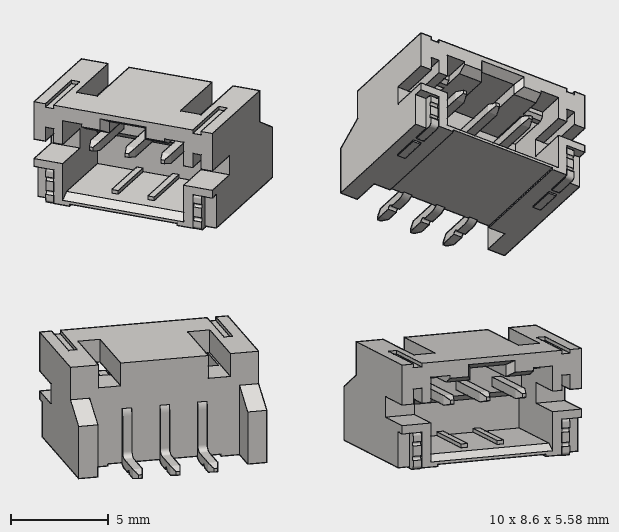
import cadquery as cq


width = 10.0
top = 5.58
underside = 0.08
back = 6.0
relief_width = 6.02
relief_top = 0.19

wing_back = 7.6
wing_inner = 3.98
wing_low = 2.9
wing_high = 3.83

cavity_width = 6.78
cavity_floor = 0.65
cavity_roof = 4.35
mouth_flare = 0.3
mouth_depth = 0.5
upper_wall = 4.08
step_bottom = 2.4
step_top = 2.71
lower_wall = upper_wall + step_top - step_bottom
key_width = 1.98
key_roof = 4.98

slot_inner = 2.33
slot_outer = 3.5
slot_front = 1.98
slot_floor = cavity_roof
pocket_depth = 1.5
pocket_roof = 4.8
pocket_bevel = 0.19

window_depth = 2.18
window_bottom = 2.4
window_top = 3.48

rib_center = 1.01
rib_width = 0.36
rib_top = 0.85
rib_front = 1.24

tab_inner = 3.9
tab_outer = 4.36
tab_top = 1.96
tab_thickness = 0.5
tab_face = 0.04
tab_corner_radius = 0.2
tab_back = 3.2
tab_dip_bottom = 0.61
tab_dip_top = 1.36
tab_dip_face = 0.07
tab_notch_radius = 0.11
tab_foot_notch = 1.58
groove_back = 3.29
groove_floor = 5.39
lower_groove_top = 4.27

pin_pitch = 2.0
pin_size = 0.5
pin_tip_size = 0.2
pin_taper = 0.5
pin_front = 0.48
pin_back = 8.6
pin_center_height = 3.28
leg_back = 6.1
bend_inner_radius = 0.3
bend_outer_radius = bend_inner_radius + pin_size
foot_notch_radius = 0.15
pin_foot_notch = 7.2


def box(x_min, x_max, y_min, y_max, z_min, z_max):
    """Block between the given limits."""
    size = (x_max - x_min, y_max - y_min, z_max - z_min)
    return cq.Workplane("XY").box(*size, centered=False).translate((x_min, y_min, z_min))


def prism(points, x_min, x_max):
    """Outline of (Y, Z) points, extruded along X."""
    outline = cq.Workplane("YZ", origin=(x_min, 0, 0)).polyline(points).close()
    return outline.extrude(x_max - x_min)


def cylinder(y, z, radius, x_min, x_max):
    """Round bar along X."""
    return cq.Workplane("YZ", origin=(x_min, 0, 0)).center(y, z).circle(radius).extrude(x_max - x_min)


def both_sides(shape):
    """The shape together with its mirror image in the YZ plane."""
    return shape.union(shape.mirror("YZ"))


def flared_opening(opening_width, bottom, roof):
    """Opening that narrows inward from the mating face; one as wide as the cavity keeps upright sides."""
    side_flare = mouth_flare if opening_width < cavity_width else 0
    mouth_size = (opening_width + 2 * side_flare, roof - bottom + 2 * mouth_flare)
    inner_size = (opening_width, roof - bottom)
    return (
        cq.Workplane("XZ", origin=(0, 0, (bottom + roof) / 2))
        .rect(*mouth_size)
        .workplane(offset=-mouth_depth)
        .rect(*inner_size)
        .loft(ruled=True)
    )


def taper(y_base, y_tip, z):
    """Four-sided point of a contact."""
    return (
        cq.Workplane("XZ", origin=(0, y_base, z))
        .rect(pin_size, pin_size)
        .workplane(offset=y_base - y_tip)
        .rect(pin_tip_size, pin_tip_size)
        .loft(ruled=True)
    )


def housing_block():
    """Block with a sloped wing behind each end and a shallow relief underneath."""
    block = box(-width / 2, width / 2, 0, back, underside, top)
    wing_outline = [(back, underside), (wing_back, underside), (wing_back, wing_low), (back, wing_high)]
    wings = both_sides(prism(wing_outline, wing_inner, width / 2))
    relief = box(-relief_width / 2, relief_width / 2, 0, back, 0, relief_top)
    return block.union(wings).cut(relief)


def cavity():
    """Mating cavity with a stepped rear wall, a keyway in the roof and a flared mouth."""
    half = cavity_width / 2
    outline = [
        (0, cavity_floor),
        (lower_wall, cavity_floor),
        (lower_wall, step_bottom),
        (upper_wall, step_top),
        (upper_wall, cavity_roof),
        (0, cavity_roof),
    ]
    key = box(-key_width / 2, key_width / 2, 0, upper_wall, step_top, key_roof)
    return (
        prism(outline, -half, half)
        .union(key)
        .union(flared_opening(cavity_width, cavity_floor, cavity_roof))
        .union(flared_opening(key_width, step_top, key_roof))
    )


def latch_slots():
    """Slots in the roof, with shallow pockets raising the cavity roof in front of them."""
    slot = box(slot_inner, slot_outer, slot_front, back, slot_floor, top)
    pocket_outline = [
        (0, cavity_roof),
        (pocket_depth + pocket_bevel, cavity_roof),
        (pocket_depth, cavity_roof + pocket_bevel),
        (pocket_depth, pocket_roof),
        (0, pocket_roof),
    ]
    pocket = prism(pocket_outline, slot_inner, cavity_width / 2)
    opening = box(slot_inner, cavity_width / 2, slot_front, upper_wall, step_top, top)
    return both_sides(slot.union(pocket).union(opening))


def side_windows():
    """Openings from the ends of the housing into the cavity."""
    return both_sides(box(0, width / 2, 0, window_depth, window_bottom, window_top))


def tab_grooves():
    """Grooves above the hold-down tabs, and the cut-back lower corners that expose them."""
    upper = box(tab_inner, tab_outer, 0, groove_back, groove_floor, top)
    lower = box(tab_inner, tab_outer, 0, groove_back, window_top, lower_groove_top)
    corner = box(tab_inner, width / 2, 0, tab_thickness, 0, tab_top)
    return both_sides(upper.union(lower).union(corner))


def floor_ribs():
    """Ribs along the cavity floor, running back to its rear wall."""
    rib_inner = rib_center - rib_width / 2
    rib_outer = rib_center + rib_width / 2
    return both_sides(box(rib_inner, rib_outer, rib_front, lower_wall, cavity_floor, rib_top))


def hold_down_tabs():
    """L-shaped solder tabs with a dipped, notched face and a notched foot."""
    upright = box(tab_inner, tab_outer, tab_face, tab_thickness, 0, tab_top)
    upright = upright.edges("|X and <Y").fillet(tab_corner_radius)
    foot = box(tab_inner, tab_outer, tab_thickness, tab_back, 0, tab_thickness)
    tab = upright.union(foot)
    tab = tab.cut(box(tab_inner, tab_outer, 0, tab_dip_face, tab_dip_bottom, tab_dip_top))
    for z in (tab_dip_bottom, tab_dip_top):
        tab = tab.cut(cylinder(tab_face, z, tab_notch_radius, tab_inner, tab_outer))
    tab = tab.cut(cylinder(tab_foot_notch, 0, foot_notch_radius, tab_inner, tab_outer))
    return both_sides(tab)


def contact():
    """Contact bent down behind the housing, from the mating point to the solder tail."""
    upper_z = pin_center_height + pin_size / 2
    lower_z = upper_z - pin_size
    leg_front = leg_back - pin_size
    front_base = pin_front + pin_taper
    back_base = pin_back - pin_taper
    upper_bend_y = leg_back - bend_outer_radius
    upper_bend_z = upper_z - bend_outer_radius
    lower_bend_y = leg_back + bend_inner_radius
    lower_bend_z = bend_outer_radius
    half = pin_size / 2

    mating_arm = box(-half, half, front_base, upper_bend_y, lower_z, upper_z)
    leg = box(-half, half, leg_front, leg_back, lower_bend_z, upper_bend_z)
    tail = box(-half, half, lower_bend_y, back_base, 0, pin_size)

    def bend(y, z):
        ring = cylinder(y, z, bend_outer_radius, -half, half)
        return ring.cut(cylinder(y, z, bend_inner_radius, -half, half))

    upper_quarter = box(-half, half, upper_bend_y, leg_back, upper_bend_z, upper_z)
    lower_quarter = box(-half, half, leg_front, lower_bend_y, 0, lower_bend_z)
    return (
        mating_arm.union(leg)
        .union(tail)
        .union(bend(upper_bend_y, upper_bend_z).intersect(upper_quarter))
        .union(bend(lower_bend_y, lower_bend_z).intersect(lower_quarter))
        .union(taper(front_base, pin_front, pin_center_height))
        .union(taper(back_base, pin_back, half))
        .cut(cylinder(pin_foot_notch, 0, foot_notch_radius, -half, half))
    )


result = housing_block()
for removed in (cavity(), latch_slots(), side_windows(), tab_grooves()):
    result = result.cut(removed)
for added in (floor_ribs(), hold_down_tabs()):
    result = result.union(added)
for position in (-1, 0, 1):
    result = result.union(contact().translate((position * pin_pitch, 0, 0)))